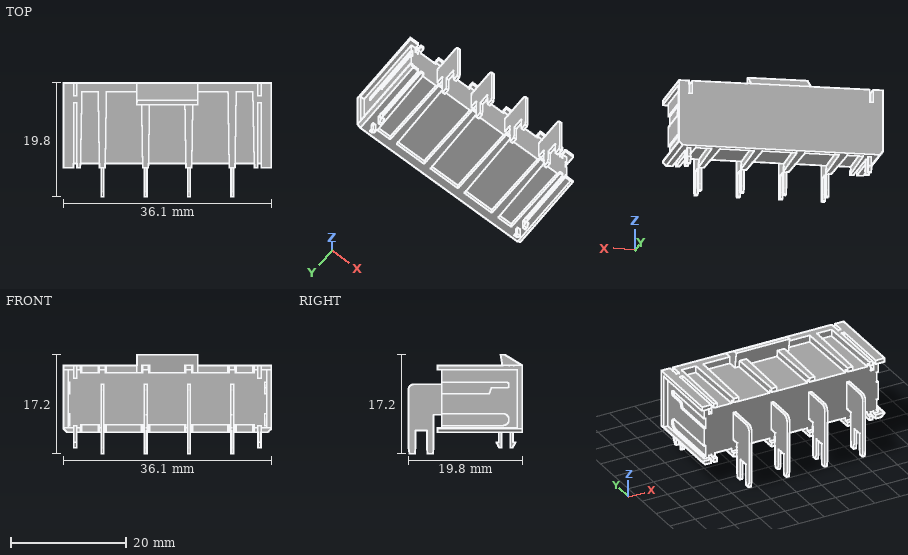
import cadquery as cq


width = 36.07
total_depth = 19.79
total_height = 17.2

height = 11.6
housing_depth = 14.77
flange = 0.76
end_recess = 0.82
block_depth = housing_depth - flange
back_rim = 0.87
bottom_chamfer = 0.63

pin_pitch = 7.5
pin_count = 4
pin_thickness = 0.5
pin_below = 3.75
pin_top = height - 3.24
pin_arm_bottom = height - 8.58
pin_corner_radius = 1.0
leg_back = 15.39
notch_back = 16.58
notch_front = 18.53
notch_top = height - 11.29
tip_length = 1.09
tip_inset = 0.1
front_tip_inset = 0.2

pocket_depth = 1.28
pocket_back = 1.52
pocket_half_back = 14.81
pocket_half_front = 15.07
rib_width_back = 1.43
rib_width_front = 1.0
rib_offset = -0.03

latch_width = 10.54
latch_top = total_height - pin_below
latch_crest_back = 3.04
latch_crest_front = 3.81
latch_undercut = 0.5

slot_x = 15.98
slot_width = 0.57
top_slot_depth = 2.25
bottom_slot_depth = 1.1
back_slot_end = 2.28
front_slot_start = 3.45
clip_centre = 2.87
clip_half_gap = 0.73
clip_thickness = 0.52
clip_length = 2.71
barb_length = 1.0
barb_reach = 0.45
clip_tip_inset = 0.12

groove_depth = 0.3
groove_start = 2.35
key_top = height - 2.93
key_narrow_bottom = height - 3.91
key_wide_bottom = height - 4.89
key_ramp_start = 5.4
key_ramp_end = 5.75
key_corner_radius = 0.38
guide_top = height - 8.36
guide_bottom = height - 10.42

pin_positions = [(i - (pin_count - 1) / 2) * pin_pitch for i in range(pin_count)]


def box(x0, x1, depth0, depth1, z0, z1):
    """Box between two X, two distances in front of the back face, and two Z."""
    solid = cq.Workplane("XY").box(x1 - x0, depth1 - depth0, z1 - z0, centered=False)
    return solid.translate((x0, -depth1, z0))


def plate(outline, x_centre, thickness):
    """Plate normal to X from (distance in front of the back face, Z) points."""
    points = [(-depth, z) for depth, z in outline]
    return (
        cq.Workplane("YZ", origin=(x_centre - thickness / 2, 0, 0))
        .polyline(points).close().extrude(thickness)
    )


def tapered_slab(x_centre, half_back, half_front):
    """Slab of the pocket height at the top, tapering between the pocket back and the housing front."""
    points = [
        (x_centre - half_back, -pocket_back),
        (x_centre + half_back, -pocket_back),
        (x_centre + half_front, -housing_depth),
        (x_centre - half_front, -housing_depth),
    ]
    return (
        cq.Workplane("XY", origin=(0, 0, height - pocket_depth))
        .polyline(points).close().extrude(pocket_depth)
    )


def make_housing():
    """Block with projecting top and bottom plates and recessed ends."""
    body = box(-width / 2, width / 2, 0, housing_depth, 0, height)
    body = body.faces("<Z").edges("|Y").chamfer(bottom_chamfer)
    body = body.cut(box(-width / 2, width / 2, block_depth, housing_depth, flange, height - flange))
    inner = width / 2 - end_recess
    for x0, x1 in ((-width / 2, -inner), (inner, width / 2)):
        body = body.cut(box(x0, x1, back_rim, housing_depth, flange, height - flange))
    return body


def make_pockets():
    """Top and bottom pockets, with the ribs left out."""
    top = tapered_slab(0, pocket_half_back, pocket_half_front)
    for x in pin_positions:
        top = top.cut(tapered_slab(x + rib_offset, rib_width_back / 2, rib_width_front / 2))
    return top.add(top.mirror("XY", (0, 0, height / 2))).combine()


def make_latch():
    """Ramped latch rising from the back edge, with an undercut front face down to the pocket floor."""
    floor = height - pocket_depth
    outline = [
        (0, floor),
        (0, height),
        (latch_crest_back, latch_top),
        (latch_crest_front, latch_top),
        (latch_crest_front - latch_undercut, floor),
    ]
    return plate(outline, 0, latch_width)


def cut_slots(body, x):
    """Back and front slots in the top, and one front slot in the bottom."""
    x0 = x - slot_width / 2
    x1 = x + slot_width / 2
    clip_front = clip_centre + clip_half_gap + clip_thickness
    body = body.cut(box(x0, x1, 0, back_slot_end, height - top_slot_depth, height))
    body = body.cut(box(x0, x1, front_slot_start, housing_depth, height - top_slot_depth, height))
    return body.cut(box(x0, x1, clip_front, housing_depth, 0, bottom_slot_depth))


def make_clip(x, side):
    """One barbed clip leg; side is -1 for the back leg and 1 for the front leg."""
    inner = clip_half_gap
    outer = clip_half_gap + clip_thickness
    profile = [
        (inner, bottom_slot_depth),
        (outer, bottom_slot_depth),
        (outer, barb_length - clip_length),
        (outer + barb_reach, barb_length - clip_length),
        (outer - clip_tip_inset, -clip_length),
        (inner, -clip_length),
    ]
    outline = [(clip_centre + side * offset, z) for offset, z in profile]
    return plate(outline, x, slot_width)


def make_end_grooves(side):
    """Stepped key groove and round-ended guide groove in one end; side is -1 or 1."""
    x = side * (width / 2 - end_recess - groove_depth / 2)
    key_outline = [
        (groove_start, key_top),
        (block_depth, key_top),
        (block_depth, key_wide_bottom),
        (key_ramp_end, key_wide_bottom),
        (key_ramp_start, key_narrow_bottom),
        (groove_start, key_narrow_bottom),
    ]
    key = plate(key_outline, x, groove_depth)
    key = key.faces(">Y").edges("|X").fillet(key_corner_radius)

    radius = (guide_top - guide_bottom) / 2
    round_centre = groove_start + radius
    guide = (
        cq.Workplane("YZ", origin=(x - groove_depth / 2, 0, 0))
        .moveTo(-block_depth, guide_bottom)
        .lineTo(-round_centre, guide_bottom)
        .threePointArc((-groove_start, guide_bottom + radius), (-round_centre, guide_top))
        .lineTo(-block_depth, guide_top)
        .close().extrude(groove_depth)
    )
    return key, guide


def make_pin(x):
    """Flat pin with an arm out of the block and two tapered legs."""
    tip = -pin_below
    tip_start = tip + tip_length
    outline = [
        (block_depth, pin_top),
        (total_depth, pin_top),
        (total_depth, tip_start),
        (total_depth - front_tip_inset, tip),
        (notch_front + tip_inset, tip),
        (notch_front, tip_start),
        (notch_front, notch_top),
        (notch_back, notch_top),
        (notch_back, tip_start),
        (notch_back - tip_inset, tip),
        (leg_back + tip_inset, tip),
        (leg_back, tip_start),
        (leg_back, pin_arm_bottom),
        (block_depth, pin_arm_bottom),
    ]
    pin = plate(outline, x, pin_thickness)
    return pin.faces(">Z").edges("<Y").fillet(pin_corner_radius)


connector = make_housing().cut(make_pockets()).union(make_latch())

for side in (-1, 1):
    connector = cut_slots(connector, side * slot_x)
    for groove in make_end_grooves(side):
        connector = connector.cut(groove)
    for clip_side in (-1, 1):
        connector = connector.union(make_clip(side * slot_x, clip_side))

for x in pin_positions:
    connector = connector.union(make_pin(x))

result = connector